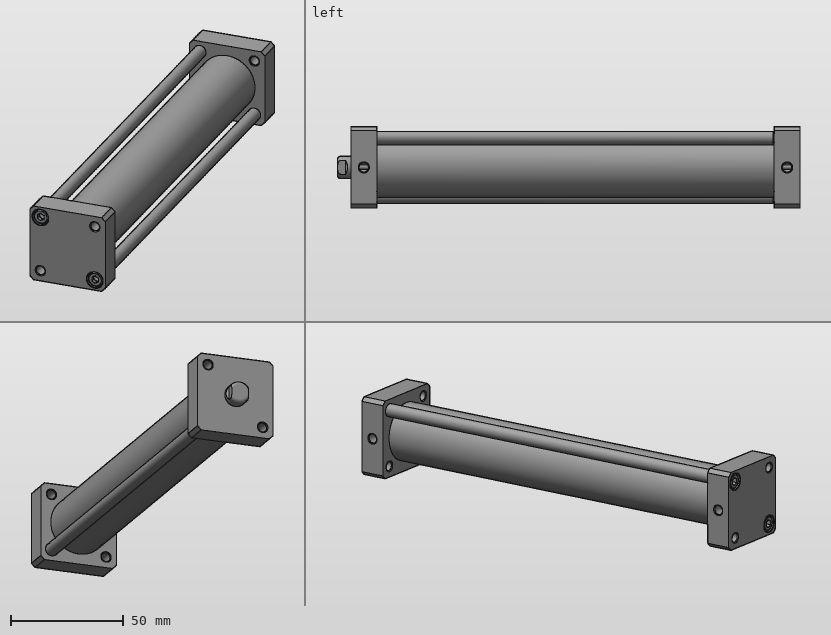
import cadquery as cq
import math

TOTAL_LENGTH = 205.0
CAP_SIDE = 36.0
CAP_THICKNESS = 11.5
CAP_CHAMFER = 1.75
ROD_END_PROTRUSION = 6.0
BACK_CAP_OUTER_Y = TOTAL_LENGTH - ROD_END_PROTRUSION
BACK_CAP_INNER_Y = BACK_CAP_OUTER_Y - CAP_THICKNESS

CORNER_SPACING = 26.0
CORNER_OFFSET = CORNER_SPACING / 2
TIE_CORNERS = [(-CORNER_OFFSET, CORNER_OFFSET), (CORNER_OFFSET, -CORNER_OFFSET)]
MOUNTING_CORNERS = [(CORNER_OFFSET, CORNER_OFFSET), (-CORNER_OFFSET, -CORNER_OFFSET)]
MOUNTING_HOLE_DIAMETER = 4.0
MOUNTING_MOUTH_DIAMETER = 5.0

PORT_DIAMETER = 4.0
PORT_MOUTH_DIAMETER = 5.0
PORT_DEPTH = 8.0
PORT_BAR_DIAMETER = 2.0
PORT_BAR_DEPTH = 6.0

BARREL_DIAMETER = 26.6

DRILL_POINT_ANGLE = 118.0

TIE_ROD_DIAMETER = 6.0
TIE_SHANK_DIAMETER = 4.0
TIE_ROD_GAP = 0.5
TIE_TAIL_LENGTH = 6.0
TIE_TAIL_END_Y = BACK_CAP_INNER_Y + TIE_TAIL_LENGTH
HEAD_DIAMETER = 7.0
HEAD_RECESS = 0.5
HEAD_CHAMFER = 0.51
HEAD_POCKET_DIAMETER = 7.5
HEAD_POCKET_MOUTH_DIAMETER = 8.0
HEAD_POCKET_DEPTH = 4.5
SOCKET_WIDTH = 3.0
SOCKET_DEPTH = 2.0

PISTON_ROD_DIAMETER = 10.0
PISTON_ROD_ROUNDING = 1.5
FLAT_WIDTH = 8.0
FLAT_LENGTH = 3.5


def cylinder_y(diameter, start, end, x=0.0, z=0.0):
    """Solid cylinder along +Y from start to end, centred on (x, z)."""
    base = cq.Workplane("XZ", origin=(x, start, z))
    return base.circle(diameter / 2).extrude(start - end)


def cone_y(start_diameter, end_diameter, start, end, x=0.0, z=0.0):
    """Cone frustum along Y, from start_diameter at start to end_diameter at end."""
    direction = cq.Vector(0, 1 if end > start else -1, 0)
    solid = cq.Solid.makeCone(
        start_diameter / 2, end_diameter / 2, abs(end - start), cq.Vector(x, start, z), direction
    )
    return cq.Workplane(obj=solid)


def drill_point_length(diameter):
    """Length of the conical bottom left by a drill of the given diameter."""
    return diameter / 2 / math.tan(math.radians(DRILL_POINT_ANGLE / 2))


def port_cutter(y):
    """Drilled port along +X from the -X side, with a countersunk mouth and a drill point."""
    face_x = -CAP_SIDE / 2
    radius = PORT_DIAMETER / 2
    mouth_radius = PORT_MOUTH_DIAMETER / 2
    mouth_depth = mouth_radius - radius
    point_length = drill_point_length(PORT_DIAMETER)
    profile = [
        (face_x, 0),
        (face_x, mouth_radius),
        (face_x + mouth_depth, radius),
        (face_x + PORT_DEPTH, radius),
        (face_x + PORT_DEPTH + point_length, 0),
    ]
    outline = cq.Workplane("XY", origin=(0, y, 0)).polyline(profile).close()
    return outline.revolve(360, (0, 0, 0), (1, 0, 0))


def cap_block(start, end):
    """Square cap with chamfered long edges, mounting holes and a side port with its crossing bar."""
    block = (
        cq.Workplane("XZ", origin=(0, start, 0))
        .rect(CAP_SIDE, CAP_SIDE)
        .extrude(start - end)
        .edges("|Y")
        .chamfer(CAP_CHAMFER)
    )
    mouth_depth = (MOUNTING_MOUTH_DIAMETER - MOUNTING_HOLE_DIAMETER) / 2
    for x, z in MOUNTING_CORNERS:
        block = block.cut(cylinder_y(MOUNTING_HOLE_DIAMETER, start, end, x, z))
        for face, depth in ((start, mouth_depth), (end, -mouth_depth)):
            mouth = cone_y(MOUNTING_MOUTH_DIAMETER, MOUNTING_HOLE_DIAMETER, face, face + depth, x, z)
            block = block.cut(mouth)
    bar_x = PORT_BAR_DEPTH - CAP_SIDE / 2
    bar = cylinder_y(PORT_BAR_DIAMETER, start, end, bar_x)
    return block.cut(port_cutter((start + end) / 2)).union(bar)


def front_cap():
    """Front cap with a stepped hole for each tie bolt."""
    cap = cap_block(0.0, CAP_THICKNESS)
    mouth_depth = (HEAD_POCKET_MOUTH_DIAMETER - HEAD_POCKET_DIAMETER) / 2
    for x, z in TIE_CORNERS:
        cap = cap.cut(cylinder_y(TIE_SHANK_DIAMETER, 0.0, CAP_THICKNESS, x, z))
        cap = cap.cut(cylinder_y(HEAD_POCKET_DIAMETER, 0.0, HEAD_POCKET_DEPTH, x, z))
        mouth = cone_y(HEAD_POCKET_MOUTH_DIAMETER, HEAD_POCKET_DIAMETER, 0.0, mouth_depth, x, z)
        cap = cap.cut(mouth)
    return cap


def back_cap():
    """Back cap with blind holes for the tie bolt tails and a bore for the piston rod."""
    cap = cap_block(BACK_CAP_INNER_Y, BACK_CAP_OUTER_Y)
    for x, z in TIE_CORNERS:
        cap = cap.cut(cylinder_y(TIE_SHANK_DIAMETER, BACK_CAP_INNER_Y, TIE_TAIL_END_Y, x, z))
    return cap.cut(cylinder_y(PISTON_ROD_DIAMETER, BACK_CAP_INNER_Y, BACK_CAP_OUTER_Y))


def barrel():
    """Plain cylinder clamped between the caps."""
    return cylinder_y(BARREL_DIAMETER, CAP_THICKNESS, BACK_CAP_INNER_Y)


def tie_bolt(x, z):
    """Tie bolt: socket head in the front cap, thick rod between caps, tail in the back cap."""
    head = cylinder_y(HEAD_DIAMETER, HEAD_RECESS, HEAD_POCKET_DEPTH, x, z)
    head = head.faces("<Y").chamfer(HEAD_CHAMFER)
    shank = cylinder_y(TIE_SHANK_DIAMETER, HEAD_POCKET_DEPTH, TIE_TAIL_END_Y, x, z)
    rod = cylinder_y(TIE_ROD_DIAMETER, CAP_THICKNESS + TIE_ROD_GAP, BACK_CAP_INNER_Y, x, z)
    socket = (
        cq.Workplane("XZ", origin=(x, HEAD_RECESS, z))
        .polygon(6, SOCKET_WIDTH, circumscribed=True)
        .extrude(-SOCKET_DEPTH)
    )
    floor = HEAD_RECESS + SOCKET_DEPTH
    point = cone_y(SOCKET_WIDTH, 0.0, floor, floor + drill_point_length(SOCKET_WIDTH), x, z)
    return head.union(shank).union(rod).cut(socket).cut(point)


def piston_rod():
    """Piston rod end with two wrench flats that run out on 45 degree slopes, and a rounded tip."""
    rod = cylinder_y(PISTON_ROD_DIAMETER, BACK_CAP_INNER_Y, TOTAL_LENGTH)
    rod = rod.faces(">Y").edges().fillet(PISTON_ROD_ROUNDING)
    flat_start = TOTAL_LENGTH - FLAT_LENGTH
    flat_x = FLAT_WIDTH / 2
    outer_x = PISTON_ROD_DIAMETER / 2
    slope = outer_x - flat_x
    profile = [
        (flat_x, TOTAL_LENGTH),
        (flat_x, flat_start),
        (outer_x, flat_start - slope),
        (outer_x, TOTAL_LENGTH),
    ]
    for side in (-1, 1):
        points = [(side * x, y) for x, y in profile]
        flat = cq.Workplane("XY").polyline(points).close().extrude(PISTON_ROD_DIAMETER, both=True)
        rod = rod.cut(flat)
    return rod


tie_bolts = [tie_bolt(x, z).val() for x, z in TIE_CORNERS]

result = cq.Compound.makeCompound(
    [front_cap().val(), back_cap().val(), barrel().val(), piston_rod().val(), *tie_bolts]
)